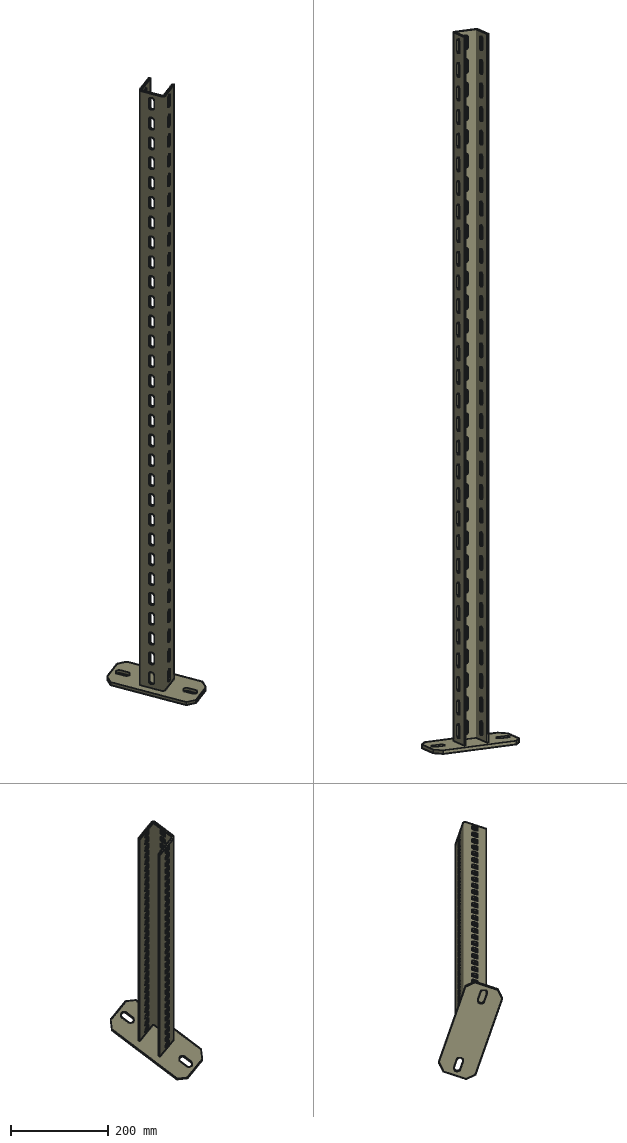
import cadquery as cq

TOTAL_HEIGHT = 1508.0

PLATE_LENGTH = 200.0
PLATE_WIDTH = 80.0
PLATE_THICKNESS = 8.0
PLATE_CORNER_CUT = 15.0
PLATE_SLOT_LENGTH = 30.0
PLATE_SLOT_WIDTH = 14.0
PLATE_SLOT_SPACING = 152.0

CHANNEL_WIDTH = 57.0
CHANNEL_DEPTH = 50.0
SHEET_THICKNESS = 4.0
BEND_OUTER_RADIUS = 5.3
CHANNEL_HEIGHT = TOTAL_HEIGHT - PLATE_THICKNESS

SLOT_COUNT = 30
SLOT_PITCH = CHANNEL_HEIGHT / SLOT_COUNT
SLOT_LENGTH = 30.0
SLOT_WIDTH = 12.0


def make_base_plate():
    """Flat plate with cut corners and one fixing slot near each end, its underside at Z = 0."""
    plate = (
        cq.Workplane("XY")
        .rect(PLATE_LENGTH, PLATE_WIDTH)
        .extrude(PLATE_THICKNESS)
        .edges("|Z")
        .chamfer(PLATE_CORNER_CUT)
    )
    fixing_slots = (
        cq.Workplane("XY")
        .rarray(PLATE_SLOT_SPACING, 15, 2, 1)
        .slot2D(PLATE_SLOT_LENGTH, PLATE_SLOT_WIDTH)
        .extrude(PLATE_THICKNESS)
    )
    return plate.cut(fixing_slots)


def make_channel_blank():
    """Folded sheet channel without slots, standing on top of the base plate."""
    bend_inner_radius = BEND_OUTER_RADIUS - SHEET_THICKNESS

    outside = (
        cq.Workplane("XY", origin=(0, 0, PLATE_THICKNESS))
        .rect(CHANNEL_WIDTH, CHANNEL_DEPTH)
        .extrude(CHANNEL_HEIGHT)
        .edges("|Z and <Y")
        .fillet(BEND_OUTER_RADIUS)
    )
    inside = (
        cq.Workplane("XY", origin=(0, SHEET_THICKNESS, PLATE_THICKNESS))
        .rect(CHANNEL_WIDTH - 2 * SHEET_THICKNESS, CHANNEL_DEPTH)
        .extrude(CHANNEL_HEIGHT)
        .edges("|Z and <Y")
        .fillet(bend_inner_radius)
    )
    return outside.cut(inside)


def make_slot_column(plane, start, length):
    """Column of upright slot cutters that begin at the point `start` and reach `length` along the normal."""
    return (
        cq.Workplane(plane, origin=start)
        .rarray(15, SLOT_PITCH, 1, SLOT_COUNT)
        .slot2D(SLOT_LENGTH, SLOT_WIDTH, 90)
        .extrude(length)
    )


def make_upright():
    """Channel with a column of slots through its web and one through both flanges."""
    slot_mid_height = PLATE_THICKNESS + CHANNEL_HEIGHT / 2
    web_slots = make_slot_column("XZ", (0, 0, slot_mid_height), CHANNEL_DEPTH)
    flange_slots = make_slot_column("YZ", (-CHANNEL_WIDTH / 2, 0, slot_mid_height), CHANNEL_WIDTH)
    return make_channel_blank().cut(web_slots).cut(flange_slots)


base_plate = make_base_plate()
upright = make_upright()

result = cq.Compound.makeCompound([base_plate.val(), upright.val()])